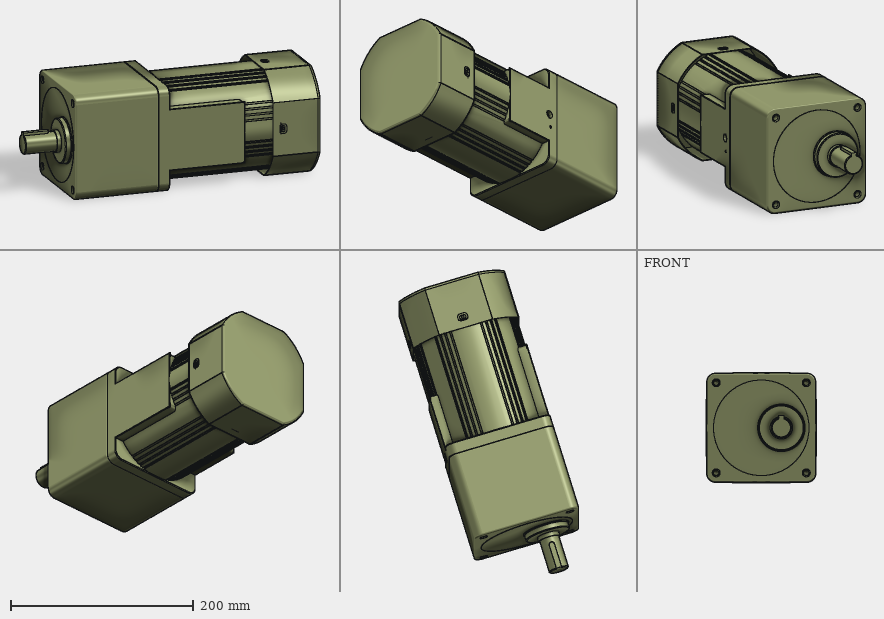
import cadquery as cq
import math


TOTAL_LENGTH = 334.0

BODY_WIDTH = 120.0
BODY_CORNER_RADIUS = 10.0
GEARBOX_LENGTH = 97.0
GEARBOX_FILLET = 2.0
FACE_RECESS_RADIUS = 52.5
FACE_RECESS_DEPTH = 0.5
MOUNT_HOLE_OFFSET = 49.5
MOUNT_HOLE_RADIUS = 3.0
MOUNT_SINK_RADIUS = 4.5
MOUNT_HOLE_DEPTH = 10.0

SHAFT_X = 22.0
HUB_RADIUS = 25.0
HUB_END = 7.5
HUB_CHAMFER = 1.0
HUB_FOOT = 1.0
COLLAR_RADIUS = 12.5
COLLAR_END = 12.0
SHAFT_RADIUS = 11.0
SHAFT_END = 48.8
SHAFT_CHAMFER = 1.0
KEY_WIDTH = 6.0
KEY_TOP = 13.7
KEY_START = 18.7

FLANGE_THICKNESS = 13.0
FLANGE_CHAMFER = 1.0
STATOR_END = 238.8
GROOVE_COUNT = 4
GROOVE_PITCH_ANGLE = 6.0
TOP_GROOVE_START_ANGLE = 17.2
SIDE_GROOVE_START_ANGLE = 12.1
GROOVE_WIDTH = 2.0
GROOVE_DEPTH = 1.0
LID_BEVEL = 0.7
LEFT_BOX_END = 172.5
LEFT_BOX_HEIGHT = 66.5
LEFT_BOX_FILLET = 3.0
RIGHT_BOX_END = 197.5
RIGHT_BOX_HEIGHT = 70.0
RIGHT_BOX_FILLET = 5.0
WIRE_HOLE_Y = 109.0
WIRE_HOLE_RADIUS = 4.5
WIRE_HOLE_DEPTH = 5.0
SCREW_HOLE_Y = 107.2
SCREW_HOLE_Z = -15.0
SCREW_HOLE_RADIUS = 1.5
SCREW_HOLE_DEPTH = 3.5

COVER_WIDTH = 121.5
COVER_FLAT = 61.5
COVER_START = 229.5
COVER_FILLET = 3.0
COVER_BACK_WALL = 3.0
SLOT_Y = 241.5
SLOT_LENGTH = 11.0
SLOT_WIDTH = 8.0
SLOT_CORNER_RADIUS = 3.5
SLOT_DEPTH = 0.27
SLOT_STEP = 2.0
SLOT_HOLE_RADIUS = 1.5

HALF_BODY = BODY_WIDTH / 2
STATOR_RADIUS = HALF_BODY
COVER_END = TOTAL_LENGTH - SHAFT_END
COVER_WALL = COVER_WIDTH / 2 - STATOR_RADIUS
FLANGE_END = GEARBOX_LENGTH + FLANGE_THICKNESS


def plane_at(y):
    """Work plane across the motor axis at the given Y; its local axes are X and Z."""
    return cq.Workplane("XZ", origin=(0, y, 0))


def disc(radius, y_start, y_end, x=0):
    """Cylinder along Y."""
    return plane_at(y_start).center(x, 0).circle(radius).extrude(y_start - y_end)


def square_block(y_start, y_end):
    """Square section with rounded corners, shared by the gearbox and the motor flange."""
    block = plane_at(y_start).rect(BODY_WIDTH, BODY_WIDTH).extrude(y_start - y_end)
    return block.edges("|Y").fillet(BODY_CORNER_RADIUS)


def mount_hole(x, z):
    """Countersunk blind hole with a 90 degree drill point, opening in the gearbox front face."""
    sink_depth = MOUNT_SINK_RADIUS - MOUNT_HOLE_RADIUS
    profile = [
        (0, 0),
        (MOUNT_SINK_RADIUS, 0),
        (MOUNT_HOLE_RADIUS, sink_depth),
        (MOUNT_HOLE_RADIUS, MOUNT_HOLE_DEPTH),
        (0, MOUNT_HOLE_DEPTH + MOUNT_HOLE_RADIUS),
    ]
    hole = cq.Workplane("XY").polyline(profile).close().revolve(360, (0, 0, 0), (0, 1, 0))
    return hole.translate((x, 0, z))


def make_shaft():
    """Bearing hub with a flared foot, collar and keyed output shaft."""
    foot = disc(HUB_RADIUS + HUB_FOOT, FACE_RECESS_DEPTH, -HUB_FOOT, SHAFT_X)
    foot = foot.faces("<Y").edges().chamfer(HUB_FOOT)
    hub = disc(HUB_RADIUS, FACE_RECESS_DEPTH, -HUB_END, SHAFT_X).faces("<Y").edges().chamfer(HUB_CHAMFER)
    collar = disc(COLLAR_RADIUS, -HUB_END, -COLLAR_END, SHAFT_X)
    shaft = disc(SHAFT_RADIUS, -COLLAR_END, -SHAFT_END, SHAFT_X).faces("<Y").edges().chamfer(SHAFT_CHAMFER)
    key_round_y = -KEY_START - KEY_WIDTH / 2
    key = (
        cq.Workplane("XY", origin=(SHAFT_X, 0, 0))
        .moveTo(-KEY_WIDTH / 2, -SHAFT_END)
        .lineTo(KEY_WIDTH / 2, -SHAFT_END)
        .lineTo(KEY_WIDTH / 2, key_round_y)
        .threePointArc((0, -KEY_START), (-KEY_WIDTH / 2, key_round_y))
        .close()
        .extrude(KEY_TOP)
    )
    return foot.union(hub).union(collar).union(shaft).union(key)


def make_gearbox():
    gearbox = square_block(0, GEARBOX_LENGTH).faces("<Y or >Y").edges().fillet(GEARBOX_FILLET)
    gearbox = gearbox.cut(disc(FACE_RECESS_RADIUS, 0, FACE_RECESS_DEPTH))
    for x in (-MOUNT_HOLE_OFFSET, MOUNT_HOLE_OFFSET):
        for z in (-MOUNT_HOLE_OFFSET, MOUNT_HOLE_OFFSET):
            gearbox = gearbox.cut(mount_hole(x, z))
    return gearbox.union(make_shaft())


def stator_groove(angle):
    """Radial groove along the whole stator, at an angle from +X toward +Z."""
    length = STATOR_END - FLANGE_END
    groove = cq.Workplane("XY").box(2 * GROOVE_DEPTH, length, GROOVE_WIDTH)
    groove = groove.translate((STATOR_RADIUS, FLANGE_END + length / 2, 0))
    return groove.rotate((0, 0, 0), (0, 1, 0), -angle)


def make_stator():
    stator = disc(STATOR_RADIUS, FLANGE_END, STATOR_END)
    side_starts = {0: SIDE_GROOVE_START_ANGLE, 90: TOP_GROOVE_START_ANGLE}
    for middle in (0, 90, 180, 270):
        for index in range(GROOVE_COUNT):
            offset = side_starts[middle % 180] + index * GROOVE_PITCH_ANGLE
            stator = stator.cut(stator_groove(middle + offset)).cut(stator_groove(middle - offset))
    return stator


def side_box(end, height, fillet):
    """Wiring box on the -X side of the stator, flush with the flange, under a lid with beveled edges."""
    length = end - GEARBOX_LENGTH
    middle_y = GEARBOX_LENGTH + length / 2
    lid_base_x = HALF_BODY - LID_BEVEL
    box = cq.Workplane("XY").box(lid_base_x, length, height)
    box = box.translate((-lid_base_x / 2, middle_y, 0)).faces(">Y").edges("|X").fillet(fillet)
    lid = cq.Workplane("XY").box(2 * LID_BEVEL, length, height)
    lid = lid.translate((-lid_base_x, middle_y, 0)).faces("<X").edges("|Y or >Y").chamfer(LID_BEVEL)
    return box.union(lid)


def make_motor():
    flange = square_block(GEARBOX_LENGTH, FLANGE_END).faces(">Y").edges().chamfer(FLANGE_CHAMFER)
    left_box = side_box(LEFT_BOX_END, LEFT_BOX_HEIGHT, LEFT_BOX_FILLET)
    right_box = side_box(RIGHT_BOX_END, RIGHT_BOX_HEIGHT, RIGHT_BOX_FILLET).mirror("YZ")
    motor = make_stator().union(flange).union(left_box).union(right_box)
    side = cq.Workplane("YZ", origin=(-HALF_BODY, 0, 0))
    wire_hole = side.center(WIRE_HOLE_Y, 0).circle(WIRE_HOLE_RADIUS).extrude(WIRE_HOLE_DEPTH)
    screw_hole = side.center(SCREW_HOLE_Y, SCREW_HOLE_Z).circle(SCREW_HOLE_RADIUS).extrude(SCREW_HOLE_DEPTH)
    return motor.cut(wire_hole).cut(screw_hole)


def cover_block(inset, y_start, y_end):
    """Four flats joined by arcs about the motor axis, moved inward by the inset."""
    corner_radius = math.hypot(COVER_WIDTH / 2, COVER_FLAT / 2) - inset
    width = COVER_WIDTH - 2 * inset
    square = plane_at(y_start).rect(width, width).extrude(y_start - y_end)
    return square.intersect(disc(corner_radius, y_start, y_end))


def cover_slot(angle):
    """Two-step pocket with a round hole through the cover wall, at an angle from +X toward +Z."""
    outer_face = cq.Workplane("YZ", origin=(COVER_WIDTH / 2, SLOT_Y, 0))
    outer = outer_face.rect(SLOT_WIDTH, SLOT_LENGTH).extrude(-SLOT_DEPTH)
    outer = outer.edges("|X").fillet(SLOT_CORNER_RADIUS)
    inner_length = SLOT_LENGTH - 2 * SLOT_STEP
    inner_width = SLOT_WIDTH - 2 * SLOT_STEP
    inner = outer_face.slot2D(inner_length, inner_width, 90).extrude(-2 * SLOT_DEPTH)
    hole = outer_face.circle(SLOT_HOLE_RADIUS).extrude(-COVER_WALL)
    return outer.union(inner).union(hole).rotate((0, 0, 0), (0, 1, 0), -angle)


def make_cover():
    cover = cover_block(0, COVER_START, COVER_END).faces(">Y").edges().fillet(COVER_FILLET)
    cover = cover.cut(cover_block(COVER_WALL, COVER_START, COVER_END - COVER_BACK_WALL))
    for angle in (0, 90, 180):
        cover = cover.cut(cover_slot(angle))
    return cover


gearbox = make_gearbox()
motor = make_motor()
fan_cover = make_cover()

result = cq.Compound.makeCompound([gearbox.val(), motor.val(), fan_cover.val()])